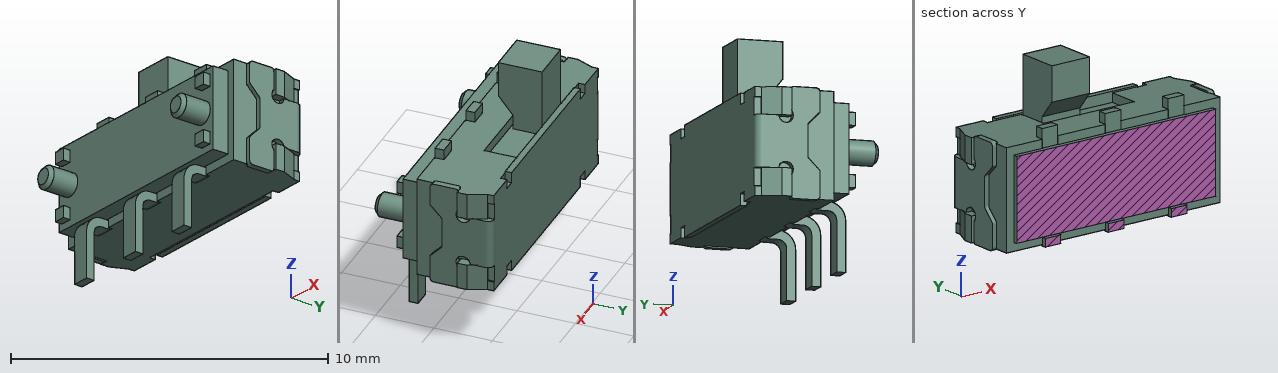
import cadquery as cq


housing_width = 8.48
housing_height = 3.5
housing_depth = 2.63
base_width = 7.9
base_height = 2.9
base_front = 3.23

cover_thickness = 0.22
cover_width = 8.8
cover_height = 3.6
cover_front = 2.12
cover_bend_x = cover_width / 2 - cover_thickness
rear_plate_height = 2.86
rear_tab_width = 5.58
rear_recess_width = 6.32
wing_corner_radius = 0.1
wing_front_corner_radius = 0.14
wing_notch_depth = 0.41
wing_notch_half_height = 0.53
wing_notch_z = 0.08

overall_width = 9.0
ear_ramp_end = 0.81
ear_front = 1.144
ear_bottom = 0.85
relief_radius = 0.24
relief_depth = 0.985
relief_z = 0.868

slot_width = 3.6
slot_front = 1.36
slot_floor = rear_plate_height / 2
lever_width = 1.5
lever_x = -1.02
lever_back = 0.25
lever_front = lever_back + 1.5
lever_neck_front = lever_back + 1.0
lever_top = 3.75
lever_slope_top = 2.54
lever_slope_bottom = 1.93

terminal_pitch = 2.5
terminal_count = 3
terminal_width = 0.62
terminal_thickness = 0.3
terminal_back = 2.31
terminal_top = 2.1
terminal_bottom = -3.75
terminal_shelf = -cover_height / 2
terminal_leg_front = base_front + 0.27
terminal_bend_inner = 0.3
terminal_root_inner = 0.05

pin_diameter = 0.81
pin_tip = 4.3
pin_chamfer = 0.13
pin_x = 3.4
standoff_size = 0.42
standoff_front = base_front + 0.27
standoff_x = 3.59
standoff_z = 1.0


def block(x_range, depth_range, z_range):
    """Box given by its X, depth and Z limits."""
    width = x_range[1] - x_range[0]
    depth = depth_range[1] - depth_range[0]
    height = z_range[1] - z_range[0]
    return (
        cq.Workplane("XY")
        .box(width, depth, height, centered=False)
        .translate((x_range[0], -depth_range[1], z_range[0]))
    )


def centred_block(width, depth_range, height, x=0.0, z=0.0):
    """Box centred on (x, z) between two depths."""
    return block((x - width / 2, x + width / 2), depth_range, (z - height / 2, z + height / 2))


def both_ends(right_end):
    """A feature of the +X end joined with its mirror image."""
    return right_end.union(right_end.mirror("YZ"))


def above_and_below(upper):
    """A feature of the upper half joined with its mirror image."""
    return upper.union(upper.mirror("XY"))


def make_housing():
    housing = centred_block(housing_width, (0, housing_depth), housing_height)
    rear_recess = centred_block(rear_recess_width, (0, cover_thickness), housing_height)
    rear_step = centred_block(housing_width, (0, cover_thickness), rear_plate_height)
    base = centred_block(base_width, (housing_depth, base_front), base_height)
    return housing.cut(rear_recess).cut(rear_step).union(base)


def make_cover_wing():
    """Cover side on the +X end, with a notch in its front edge and a rounded bend at the rear."""
    half_height = cover_height / 2
    notch_floor = cover_front - wing_notch_depth
    notch_mouth = wing_notch_half_height + wing_notch_depth
    outline = [
        (-ear_front, -half_height),
        (-cover_front, -half_height),
        (-cover_front, wing_notch_z - notch_mouth),
        (-notch_floor, wing_notch_z - wing_notch_half_height),
        (-notch_floor, wing_notch_z + wing_notch_half_height),
        (-cover_front, wing_notch_z + notch_mouth),
        (-cover_front, half_height),
        (-ear_front, half_height),
    ]
    front_plate = (
        cq.Workplane("YZ")
        .workplane(offset=cover_bend_x)
        .polyline(outline)
        .close()
        .extrude(cover_thickness)
    )
    outer_corners = "(>Z or <Z) and <Y"
    front_plate = front_plate.edges(f"|X and (not ({outer_corners}))").fillet(wing_corner_radius)
    front_plate = front_plate.edges(f"|X and {outer_corners}").fillet(wing_front_corner_radius)
    strap = block(
        (cover_bend_x, cover_width / 2),
        (cover_thickness, ear_front),
        (-ear_bottom, ear_bottom),
    )
    bend = (
        cq.Workplane("XY")
        .center(cover_bend_x, -cover_thickness)
        .circle(cover_thickness)
        .extrude(ear_bottom, both=True)
    )
    return front_plate.union(strap).union(bend)


def make_cover():
    rear_plate = centred_block(2 * cover_bend_x, (0, cover_thickness), rear_plate_height)
    rear_tabs = centred_block(rear_tab_width, (0, cover_thickness), cover_height)
    return rear_plate.union(rear_tabs).union(both_ends(make_cover_wing()))


def make_reliefs():
    """Round corner reliefs that go through the cover next to the ears."""
    relief = (
        cq.Workplane("YZ")
        .workplane(offset=cover_bend_x)
        .center(-relief_depth, relief_z)
        .circle(relief_radius)
        .extrude(cover_thickness)
    )
    return above_and_below(both_ends(relief))


def make_ears():
    outline = [
        (cover_bend_x, -cover_thickness),
        (housing_width / 2, -cover_thickness),
        (overall_width / 2, -ear_ramp_end),
        (overall_width / 2, -ear_front),
        (cover_bend_x, -ear_front),
    ]
    ear = (
        cq.Workplane("XY")
        .workplane(offset=ear_bottom)
        .polyline(outline)
        .close()
        .extrude(housing_height / 2 - ear_bottom)
    )
    return above_and_below(both_ends(ear))


def make_slot():
    return centred_block(
        slot_width,
        (cover_thickness, slot_front),
        housing_height / 2 - slot_floor,
        z=(housing_height / 2 + slot_floor) / 2,
    )


def make_lever():
    outline = [
        (-lever_back, slot_floor),
        (-lever_neck_front, slot_floor),
        (-lever_neck_front, lever_slope_bottom),
        (-lever_front, lever_slope_top),
        (-lever_front, lever_top),
        (-lever_back, lever_top),
    ]
    return (
        cq.Workplane("YZ")
        .workplane(offset=lever_x)
        .polyline(outline)
        .close()
        .extrude(lever_width / 2, both=True)
    )


def make_terminal():
    """Strip standing in the housing, bent forward at its foot and then down into a leg."""
    front = terminal_back + terminal_thickness
    shelf_top = terminal_shelf + terminal_thickness
    leg_back = terminal_leg_front - terminal_thickness
    bend_outer = terminal_bend_inner + terminal_thickness
    bend_start = terminal_leg_front - bend_outer
    bend_end = shelf_top - bend_outer
    root_outer = terminal_root_inner + terminal_thickness
    root_end = terminal_back + root_outer
    root_start = terminal_shelf + root_outer
    return (
        cq.Workplane("YZ")
        .moveTo(-terminal_back, terminal_top)
        .lineTo(-terminal_back, root_start)
        .radiusArc((-root_end, terminal_shelf), root_outer)
        .lineTo(-bend_start, terminal_shelf)
        .radiusArc((-leg_back, bend_end), -terminal_bend_inner)
        .lineTo(-leg_back, terminal_bottom)
        .lineTo(-terminal_leg_front, terminal_bottom)
        .lineTo(-terminal_leg_front, bend_end)
        .radiusArc((-bend_start, shelf_top), bend_outer)
        .lineTo(-root_end, shelf_top)
        .radiusArc((-front, root_start), -terminal_root_inner)
        .lineTo(-front, terminal_top)
        .close()
        .extrude(terminal_width / 2, both=True)
    )


def make_terminal_channel():
    """Open channel in the housing face above the base plate; the terminal fills most of its depth."""
    half_width = terminal_width / 2
    return block(
        (-half_width, half_width),
        (terminal_back, housing_depth),
        (base_height / 2, housing_height / 2),
    )


def make_pin():
    return (
        cq.Workplane("XZ")
        .workplane(offset=base_front)
        .center(pin_x, 0)
        .circle(pin_diameter / 2)
        .extrude(pin_tip - base_front)
        .faces("<Y")
        .chamfer(pin_chamfer)
    )


def make_standoffs():
    standoff = centred_block(
        standoff_size, (base_front, standoff_front), standoff_size, x=standoff_x, z=standoff_z
    )
    return above_and_below(both_ends(standoff))


result = make_housing().union(make_cover())
result = result.cut(make_reliefs()).union(make_ears())
result = result.cut(make_slot()).union(make_lever())

for index in range(terminal_count):
    shift = ((index - (terminal_count - 1) / 2) * terminal_pitch, 0, 0)
    result = result.cut(make_terminal_channel().translate(shift))
    result = result.union(make_terminal().translate(shift))

result = result.union(both_ends(make_pin())).union(make_standoffs())